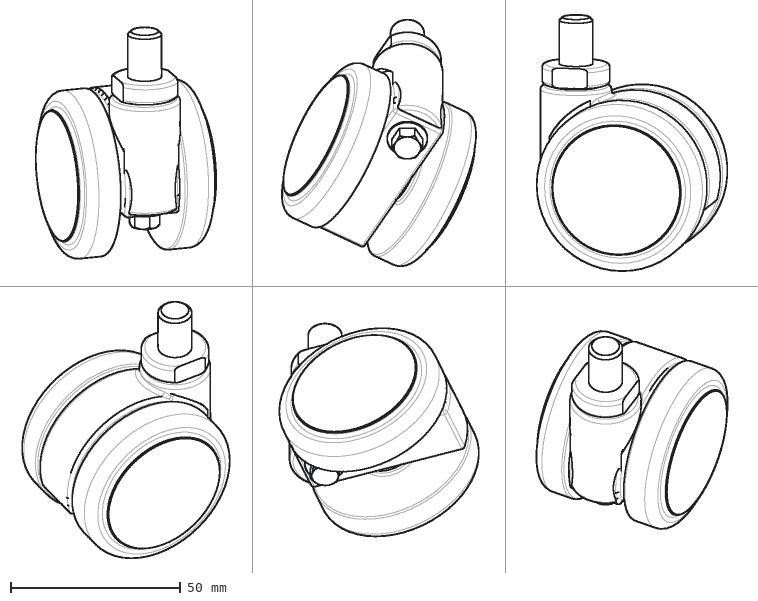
import cadquery as cq
import math


wheel_radius = 25.0
axle_height = wheel_radius
swivel_x = 17.0
total_height = 72.5

tread_inner_y = 10.0
tread_outer_y = 20.0
cap_outer_y = 21.6
cap_radius = 19.5
cap_edge_chamfer = 0.3
cap_root_fillet = 1.0
tread_outer_fillet = 2.9
tread_inner_fillet = 0.5
hub_radius = 7.75
hub_root_fillet = 0.65

drum_half_width = 8.5
drum_bottom_z = 17.55
column_radius = 10.5
column_top_z = 52.0
column_bottom_z = 18.55
housing_fillet = 1.0
column_foot_fillet = 1.0
wheel_clearance = 1.45

stud_radius = 5.0
stud_chamfer = 0.95
collar_radius = 10.0
collar_half_flats = 8.5
collar_bottom_z = 52.55
collar_top_z = 58.6
collar_fillet = 1.0
neck_radius = 7.3
washer_radius = 5.95
washer_bottom_z = 17.05
hex_across_flats = 7.9
hex_bottom_z = 12.5
hex_corner_rise = 0.65


def y_cylinder(radius, y_start, y_end):
    """Cylinder around the wheel axle between two Y positions."""
    plane = cq.Workplane("XZ", origin=(0, y_start, axle_height))
    return plane.circle(radius).extrude(y_start - y_end)


def z_cylinder(radius, z_start, z_end):
    """Cylinder around the swivel axis between two Z positions."""
    plane = cq.Workplane("XY", origin=(swivel_x, 0, z_start))
    return plane.circle(radius).extrude(z_end - z_start)


def make_wheel(side):
    """One wheel with its outer cap and its inner hub, on the +Y (1) or -Y (-1) side."""
    profile = (
        cq.Workplane("XY")
        .moveTo(0, drum_half_width)
        .lineTo(hub_radius, drum_half_width)
        .lineTo(hub_radius, tread_inner_y - hub_root_fillet)
        .tangentArcPoint((hub_radius + hub_root_fillet, tread_inner_y), relative=False)
        .lineTo(wheel_radius - tread_inner_fillet, tread_inner_y)
        .tangentArcPoint((wheel_radius, tread_inner_y + tread_inner_fillet), relative=False)
        .lineTo(wheel_radius, tread_outer_y - tread_outer_fillet)
        .tangentArcPoint((wheel_radius - tread_outer_fillet, tread_outer_y), relative=False)
        .lineTo(cap_radius + cap_root_fillet, tread_outer_y)
        .tangentArcPoint((cap_radius, tread_outer_y + cap_root_fillet), relative=False)
        .lineTo(cap_radius, cap_outer_y - cap_edge_chamfer)
        .lineTo(cap_radius - cap_edge_chamfer, cap_outer_y)
        .lineTo(0, cap_outer_y)
        .close()
    )
    wheel = profile.revolve(360, (0, 0, 0), (0, 1, 0)).translate((0, 0, axle_height))
    return wheel if side > 0 else wheel.mirror("XZ")


def make_housing():
    """Drum between the wheels with the swivel column, bored for the stem."""
    drum = y_cylinder(wheel_radius, -drum_half_width, drum_half_width)
    below = cq.Workplane("XY").box(
        2 * wheel_radius, 2 * drum_half_width, drum_bottom_z, centered=(True, True, False)
    )
    drum = drum.cut(below).edges().fillet(housing_fillet)

    column = z_cylinder(column_radius, column_bottom_z, column_top_z)
    column = column.faces("<Z or >Z").edges().fillet(housing_fillet)
    for side in (-1, 1):
        column = column.cut(
            y_cylinder(wheel_radius + wheel_clearance, side * drum_half_width, side * cap_outer_y)
        )
    body = drum.union(column)

    foot_zone = cq.selectors.BoxSelector(
        (0, -drum_half_width, axle_height + wheel_radius / 2),
        (swivel_x - column_radius / 2, drum_half_width, axle_height + wheel_radius),
    )
    body = body.edges(foot_zone).fillet(column_foot_fillet)

    return body.cut(z_cylinder(stud_radius, 0, total_height))


def make_hexagon():
    """Hexagon under the washer, corners toward -X and +X, lower corners turned off by a cone."""
    across_corners = hex_across_flats / math.cos(math.pi / 6)
    height = washer_bottom_z - hex_bottom_z
    plane = cq.Workplane("XY", origin=(swivel_x, 0, hex_bottom_z))
    hexagon = plane.polygon(6, across_corners).extrude(height)
    turned = (
        plane.circle(across_corners / 2)
        .extrude(height)
        .faces("<Z")
        .chamfer(hex_corner_rise, (across_corners - hex_across_flats) / 2)
    )
    return hexagon.intersect(turned)


def make_stem():
    """Stud, collar with two flats, neck, shaft through the housing, washer and hexagon."""
    stud = z_cylinder(stud_radius, washer_bottom_z, total_height)
    stud = stud.faces(">Z").chamfer(stud_chamfer)

    collar = z_cylinder(collar_radius, collar_bottom_z, collar_top_z).edges().fillet(collar_fillet)
    flats = cq.Workplane("XY", origin=(swivel_x, 0, 0)).box(
        2 * collar_radius, 2 * collar_half_flats, 2 * total_height
    )
    collar = collar.intersect(flats)

    neck = z_cylinder(neck_radius, column_top_z, collar_bottom_z)
    washer = z_cylinder(washer_radius, washer_bottom_z, drum_bottom_z)
    return stud.union(collar).union(neck).union(washer).union(make_hexagon())


housing = make_housing()
stem = make_stem()
wheels = [make_wheel(side) for side in (-1, 1)]

result = cq.Compound.makeCompound(
    [housing.val(), stem.val(), *[wheel.val() for wheel in wheels]]
)